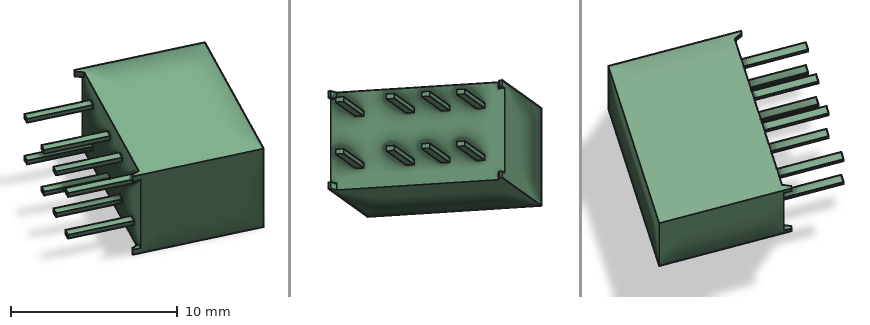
import cadquery as cq

body_width = 10.9
body_height = 6.0
body_depth = 7.8

foot_length = 0.5
foot_height = 0.4
foot_root_width = 0.4
foot_tip_width = 0.15

overall_depth = 12.0
pin_length = overall_depth - body_depth
pin_width = 0.5
pin_thickness = 0.3
row_spacing = 3.19
first_pin_x = -3.64
first_gap = 3.18
pin_pitch = 2.21
group_start_x = first_pin_x + first_gap
group_size = 3
pin_positions = [first_pin_x] + [group_start_x + i * pin_pitch for i in range(group_size)]


def make_body():
    return cq.Workplane("XY").box(
        body_width, body_depth, body_height, centered=(True, False, True)
    )


def make_foot(x_side, z_side):
    """Foot flush with the outer corner, its inner flank sloping to a narrower tip."""
    outer_x = x_side * body_width / 2
    outline = [
        (outer_x, 0),
        (outer_x, -foot_length),
        (outer_x - x_side * foot_tip_width, -foot_length),
        (outer_x - x_side * foot_root_width, 0),
    ]
    bottom_z = z_side * (body_height - foot_height) / 2 - foot_height / 2
    return cq.Workplane("XY", origin=(0, 0, bottom_z)).polyline(outline).close().extrude(foot_height)


def make_pins():
    centres = [(x, z_side * row_spacing / 2) for x in pin_positions for z_side in (-1, 1)]
    return cq.Workplane("XZ").pushPoints(centres).rect(pin_width, pin_thickness).extrude(pin_length)


result = make_body().union(make_pins())
for x_side in (-1, 1):
    for z_side in (-1, 1):
        result = result.union(make_foot(x_side, z_side))